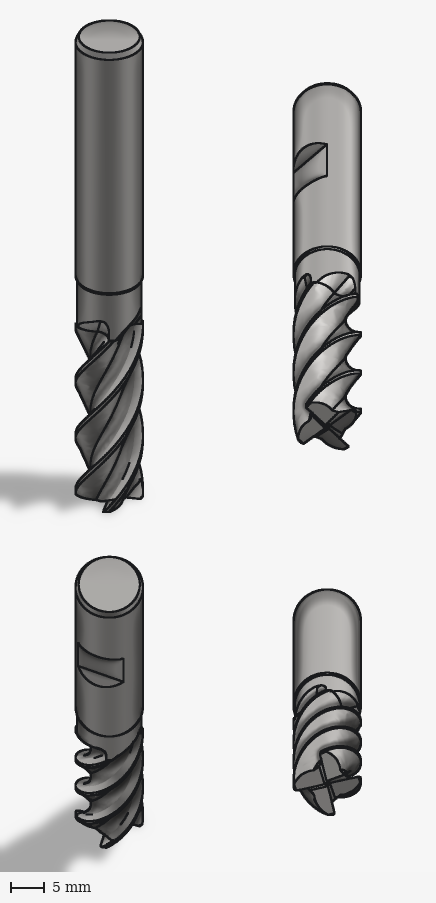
import cadquery as cq
import math


overall_length = 80.0
cutter_length = 30.0
shank_diameter = 10.0
shank_radius = shank_diameter / 2
tool_reach = 1.5 * shank_radius

neck_diameter = 9.6
neck_radius = neck_diameter / 2
neck_top = 38.0
shoulder_height = 0.4

end_chamfer_width = 0.5
end_chamfer_height = 1.0

flat_depth = 1.5
flat_center_height = 60.1
flat_length = 7.8
flat_end_slope_length = 1.0

flute_count = 4
flute_pitch_angle = 360 / flute_count
flute_lead = 38.4
cutter_twist = 360 * cutter_length / flute_lead
rake_edge_angle = 5.0
land_angle = 8.0
trailing_edge_angle = rake_edge_angle + land_angle - flute_pitch_angle
flute_bottom_radius = 2.8
flute_bottom_angle = -33.0
flute_middle_radius = flute_bottom_radius
flute_middle_angle = -15.0
rake_root_radius = 3.8
rake_root_angle = 2.0
back_bulge = 0.6

runout_height = 3.2
runout_length = 2.3
runout_exit_angle = 16.0

corner_chamfer = 0.3
end_relief_angle = 12.0
gash_start_height = 0.4
gash_rise_angle = 24.0
gash_face_angle = 38.0
gash_floor_angle = 30.0


def polar(radius, angle):
    """Point at an angle measured counter-clockwise from -Y."""
    turn = math.radians(angle - 90)
    return (radius * math.cos(turn), radius * math.sin(turn))


def tangent(angle):
    return math.tan(math.radians(angle))


def turned(tool, angle):
    return tool.rotate((0, 0, 0), (0, 0, 1), angle)


def cut_per_flute(body, tool):
    """Cut one copy of a tool into a body for every flute."""
    for index in range(flute_count):
        body = body.cut(turned(tool, index * flute_pitch_angle))
    return body


def back_middle(start, end):
    """Middle of the convex back of a tooth, bulging outwards from the chord."""
    x = (start[0] + end[0]) / 2
    y = (start[1] + end[1]) / 2
    stretch = 1 + back_bulge / math.hypot(x, y)
    return (x * stretch, y * stretch)


def trace_flute(outline, turn):
    """Continue an outline from a tooth's trailing edge to the next tooth's rake edge."""
    trailing_edge = polar(shank_radius, turn + trailing_edge_angle)
    bottom = polar(flute_bottom_radius, turn + flute_bottom_angle)
    middle = polar(flute_middle_radius, turn + flute_middle_angle)
    rake_root = polar(rake_root_radius, turn + rake_root_angle)
    return (
        outline.threePointArc(back_middle(trailing_edge, bottom), bottom)
        .threePointArc(middle, rake_root)
        .lineTo(*polar(shank_radius, turn + rake_edge_angle))
    )


def trace_land(outline, turn):
    """Continue an outline along the narrow cylindrical land of a tooth."""
    return outline.threePointArc(
        polar(shank_radius, turn + rake_edge_angle + land_angle / 2),
        polar(shank_radius, turn + rake_edge_angle + land_angle),
    )


def fluted_outline():
    outline = cq.Workplane("XY").moveTo(*polar(shank_radius, trailing_edge_angle))
    for index in range(flute_count):
        turn = index * flute_pitch_angle
        outline = trace_flute(outline, turn)
        outline = trace_land(outline, turn)
    return outline.close()


def corner_ring():
    """Ring of triangular section that bevels the outer corners of the end teeth."""
    return (
        cq.Workplane("XZ")
        .polyline(
            [
                (shank_radius - 2 * corner_chamfer, -corner_chamfer),
                (shank_radius + corner_chamfer, 2 * corner_chamfer),
                (shank_radius + corner_chamfer, -corner_chamfer),
            ]
        )
        .close()
        .revolve(360, (0, 0, 0), (0, 1, 0))
    )


def end_relief():
    """Wedge under a tooth, rising behind its end cutting edge."""
    relief_rise = tool_reach * tangent(end_relief_angle)
    wedge = (
        cq.Workplane("XZ")
        .polyline([(0, 0), (tool_reach, relief_rise), (tool_reach, -tool_reach), (0, -tool_reach)])
        .close()
        .extrude(tool_reach)
    )
    return turned(wedge, rake_edge_angle)


def end_gash():
    """Notch in front of an end cutting edge, deepening from the axis outwards."""
    face_slope = tangent(gash_face_angle)
    floor_slope = 1 / tangent(gash_floor_angle)
    bottom = gash_start_height - tool_reach
    section = (
        cq.Workplane("XZ")
        .moveTo(gash_start_height * face_slope, gash_start_height)
        .lineTo(-tool_reach * floor_slope, bottom)
        .lineTo(bottom * face_slope, bottom)
        .close()
    )
    rise = tool_reach * tangent(gash_rise_angle)
    path = cq.Vector(rise * face_slope, -tool_reach, rise)
    notch = cq.Workplane(cq.Solid.extrudeLinear(section.val(), [], path))
    return turned(notch, rake_edge_angle)


def make_cutter():
    cutter = fluted_outline().twistExtrude(cutter_length, cutter_twist)
    cutter = cutter.cut(corner_ring())
    return cut_per_flute(cutter, end_relief().union(end_gash()))


def flute_runout():
    """Flute section swept upwards and outwards until it leaves the neck."""
    section = cq.Workplane("XY", origin=(0, 0, cutter_length))
    section = section.moveTo(*polar(shank_radius, trailing_edge_angle))
    section = (
        trace_flute(section, 0)
        .lineTo(*polar(tool_reach, rake_edge_angle))
        .lineTo(*polar(tool_reach, trailing_edge_angle))
        .close()
    )
    path = cq.Vector(*polar(runout_length, runout_exit_angle), runout_height)
    runout = cq.Workplane(cq.Solid.extrudeLinear(section.val(), [], path))
    return turned(runout, cutter_twist)


def shank_blank():
    """Plain turned shank with its neck, shoulder and end chamfer."""
    return (
        cq.Workplane("XZ")
        .polyline(
            [
                (0, cutter_length),
                (neck_radius, cutter_length),
                (neck_radius, neck_top),
                (shank_radius, neck_top + shoulder_height),
                (shank_radius, overall_length - end_chamfer_height),
                (shank_radius - end_chamfer_width, overall_length),
                (0, overall_length),
            ]
        )
        .close()
        .revolve(360, (0, 0, 0), (0, 1, 0))
    )


def clamping_flat():
    flat_y = shank_radius - flat_depth
    flat_bottom = flat_center_height - flat_length / 2
    flat_top = flat_center_height + flat_length / 2
    return (
        cq.Workplane("YZ")
        .moveTo(flat_y, flat_bottom)
        .lineTo(shank_radius, flat_bottom - flat_end_slope_length)
        .lineTo(shank_radius, flat_top + flat_end_slope_length)
        .lineTo(flat_y, flat_top)
        .close()
        .extrude(shank_radius, both=True)
    )


def make_shank():
    shank = cut_per_flute(shank_blank(), flute_runout())
    return shank.cut(clamping_flat())


cutter = make_cutter()
shank = make_shank()

result = cq.Compound.makeCompound([cutter.solids().val(), shank.solids().val()])